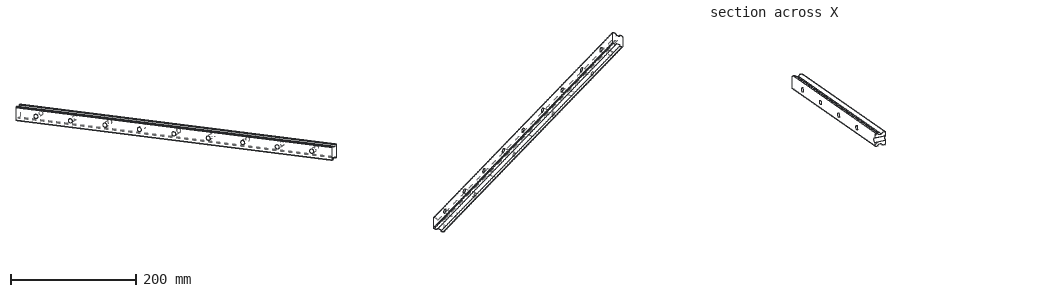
import cadquery as cq
import math

length = 550.0
height = 20.0
width = 23.0
half_width = width / 2

edge_radius = 1.4

base_chamfer = 1.2
base_side_top = 5.3
groove_flank_angle = 45.0

groove_depth = 2.8
groove_corner_radius = 1.2

head_underside = 13.9
head_relief_start = 15.5
head_relief_angle = 14.0
head_chamfer_angle = 40.0
head_chamfer_depth = 1.8

hole_diameter = 7.0
hole_pitch = 60.0
hole_count = 9


def slope(angle):
    """Change in Z per unit of Y along a line at the given angle in degrees from Y."""
    return math.tan(math.radians(angle))


def rounded_corner(corner, arrive_angle, leave_angle, radius):
    """Start, middle and end of the tangent arc that rounds a sharp corner.

    The angles are the directions of travel into and out of the corner, in
    degrees from +Y towards +Z.
    """
    y, z = corner
    arrive = math.radians(arrive_angle)
    leave = math.radians(leave_angle)
    half_turn = abs(leave - arrive) / 2
    tangent_length = radius * math.tan(half_turn)
    start = (y - tangent_length * math.cos(arrive), z - tangent_length * math.sin(arrive))
    end = (y + tangent_length * math.cos(leave), z + tangent_length * math.sin(leave))
    corner_to_arc = radius / math.cos(half_turn) - radius
    inward = (arrive + leave) / 2 + math.copysign(math.pi / 2, leave - arrive)
    middle = (y + corner_to_arc * math.cos(inward), z + corner_to_arc * math.sin(inward))
    return start, middle, end


def half_section():
    """Cross-section of the +Z half, as (Y, Z), closed along Z = 0."""
    groove_floor = half_width - groove_depth
    flank_run = groove_depth / slope(groove_flank_angle)
    chamfer_run = head_chamfer_depth / slope(head_chamfer_angle)
    relief_depth = (head_relief_start - head_underside) * slope(head_relief_angle)

    base_start, base_middle, base_end = rounded_corner(
        (base_side_top, half_width), 0, -groove_flank_angle, edge_radius
    )
    groove_start, groove_middle, groove_end = rounded_corner(
        (head_underside, groove_floor), 0, 90, groove_corner_radius
    )
    crown_start, crown_middle, crown_end = rounded_corner(
        (height, half_width - head_chamfer_depth), -head_chamfer_angle, -90, edge_radius
    )
    return (
        cq.Workplane("YZ")
        .lineTo(0, half_width - base_chamfer)
        .lineTo(base_chamfer, half_width)
        .lineTo(*base_start)
        .threePointArc(base_middle, base_end)
        .lineTo(base_side_top + flank_run, groove_floor)
        .lineTo(*groove_start)
        .threePointArc(groove_middle, groove_end)
        .lineTo(head_underside, half_width - relief_depth)
        .lineTo(head_relief_start, half_width)
        .lineTo(height - chamfer_run, half_width)
        .lineTo(*crown_start)
        .threePointArc(crown_middle, crown_end)
        .lineTo(height, 0)
        .close()
    )


def rail_body():
    """Bar with a groove along both sides, symmetric about Z = 0 and centred in X."""
    upper_half = half_section().extrude(length / 2, both=True)
    lower_half = upper_half.mirror("XY")
    return upper_half.union(lower_half).clean()


def mounting_holes():
    """Through holes along Y, evenly pitched and centred on the rail length."""
    return (
        cq.Workplane("XZ")
        .rarray(hole_pitch, 1, hole_count, 1)
        .circle(hole_diameter / 2)
        .extrude(-height)
    )


result = rail_body().cut(mounting_holes())